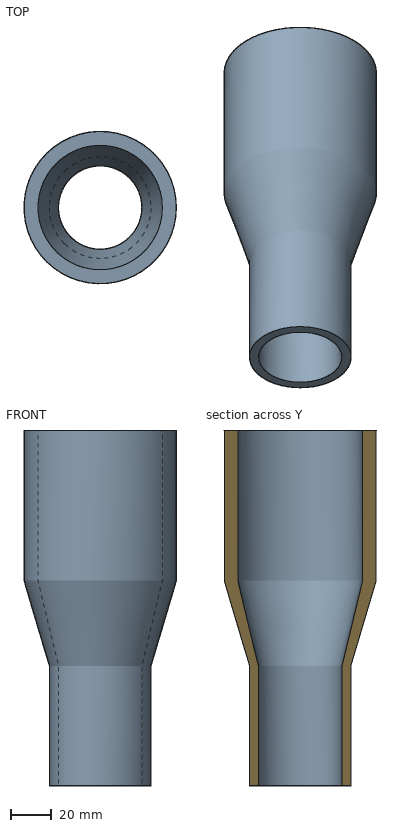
import cadquery as cq

total_height = 175.0
narrow_height = 59.0
wide_height = 74.0

wide_diameter = 75.0
wide_bore = 61.2
narrow_diameter = 50.0
narrow_bore = 41.0

cone_bottom = narrow_height
cone_top = total_height - wide_height


def stepped_solid(narrow_dia, wide_dia):
    """Solid of revolution: narrow cylinder, cone, then wide cylinder."""
    narrow_radius = narrow_dia / 2
    wide_radius = wide_dia / 2
    half_profile = (
        cq.Workplane("XZ")
        .lineTo(narrow_radius, 0)
        .lineTo(narrow_radius, cone_bottom)
        .lineTo(wide_radius, cone_top)
        .lineTo(wide_radius, total_height)
        .lineTo(0, total_height)
        .close()
    )
    return half_profile.revolve(360, (0, 0, 0), (0, 1, 0))


outer_body = stepped_solid(narrow_diameter, wide_diameter)
through_bore = stepped_solid(narrow_bore, wide_bore)

result = outer_body.cut(through_bore)